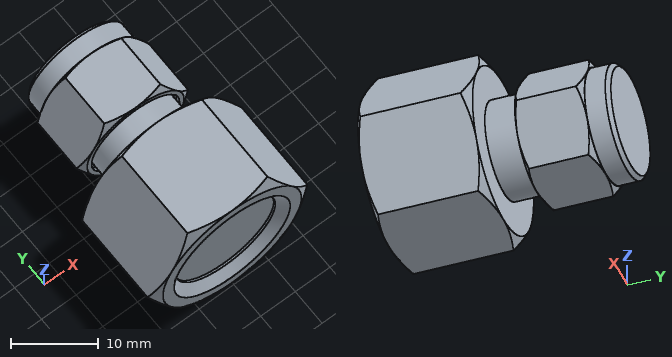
import cadquery as cq
import math

total_length = 29.5
large_hex_flats = 20.0
large_hex_end = 13.98
neck_diameter = 11.98
neck_end = 18.0
small_hex_flats = 13.98
small_hex_end = 26.5
neck_clearance_diameter = 12.68
neck_clearance_depth = 0.6
collar_diameter = 13.86
collar_chamfer = 0.5
hex_chamfer_angle = 30.0

mouth_diameter = 16.75
recess_diameter = 14.3
mouth_depth = 1.2
recess_depth = 1.5


def cylinder(diameter, start, end):
    """Cylinder along Y between two stations."""
    plane = cq.Workplane("XZ", origin=(0, start, 0))
    return plane.circle(diameter / 2).extrude(start - end)


def hex_nut(flats, start, end):
    """Hexagon with corners on X and both ends turned to a cone."""
    corners = flats / math.cos(math.radians(30))
    plane = cq.Workplane("XZ", origin=(0, start, 0))
    prism = plane.polygon(6, corners).extrude(start - end)
    face_radius = flats / 2
    corner_radius = corners / 2
    drop = (corner_radius - face_radius) * math.tan(math.radians(hex_chamfer_angle))
    turned_envelope = (
        cq.Workplane("XY")
        .moveTo(0, start)
        .lineTo(face_radius, start)
        .lineTo(corner_radius, start + drop)
        .lineTo(corner_radius, end - drop)
        .lineTo(face_radius, end)
        .lineTo(0, end)
        .close()
        .revolve(360, (0, 0, 0), (0, 1, 0))
    )
    return prism.intersect(turned_envelope)


def tapered_recess():
    """Conical mouth leading to a short round recess with a flat floor."""
    return (
        cq.Workplane("XY")
        .lineTo(mouth_diameter / 2, 0)
        .lineTo(recess_diameter / 2, mouth_depth)
        .lineTo(recess_diameter / 2, recess_depth)
        .lineTo(0, recess_depth)
        .close()
        .revolve(360, (0, 0, 0), (0, 1, 0))
    )


large_hex = hex_nut(large_hex_flats, 0, large_hex_end)
neck = cylinder(neck_diameter, large_hex_end, neck_end + neck_clearance_depth)
neck_clearance = cylinder(neck_clearance_diameter, neck_end, neck_end + neck_clearance_depth)
small_hex = hex_nut(small_hex_flats, neck_end, small_hex_end).cut(neck_clearance)
collar = cylinder(collar_diameter, small_hex_end, total_length).faces(">Y").chamfer(collar_chamfer)

result = large_hex.union(neck).union(small_hex).union(collar).cut(tapered_recess())